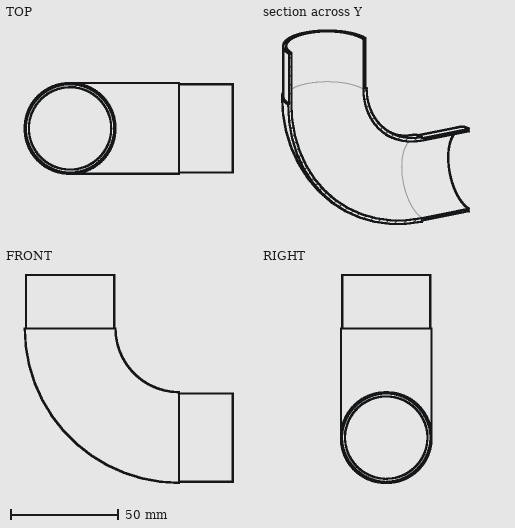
import cadquery as cq

bend_diameter = 42.4
spigot_diameter = 41.2
bore_diameter = 38.4
bend_radius = 50.85
spigot_length = 25.0

side_outlet_x = bend_radius
side_outlet_z = -bend_radius


def bend_rod(diameter):
    """Solid quarter torus joining the top outlet to the side outlet."""
    centreline = (
        cq.Workplane("XZ")
        .radiusArc((side_outlet_x, side_outlet_z), -bend_radius)
    )
    return cq.Workplane("XY").circle(diameter / 2).sweep(centreline)


def top_rod(diameter):
    """Straight cylinder rising from the upper end of the bend."""
    return cq.Workplane("XY").circle(diameter / 2).extrude(spigot_length)


def side_rod(diameter):
    """Straight cylinder leaving the lower end of the bend along +X."""
    return (
        cq.Workplane("YZ", origin=(side_outlet_x, 0, side_outlet_z))
        .circle(diameter / 2)
        .extrude(spigot_length)
    )


outer_body = (
    bend_rod(bend_diameter)
    .union(top_rod(spigot_diameter))
    .union(side_rod(spigot_diameter))
)

result = (
    outer_body
    .cut(bend_rod(bore_diameter))
    .cut(top_rod(bore_diameter))
    .cut(side_rod(bore_diameter))
)